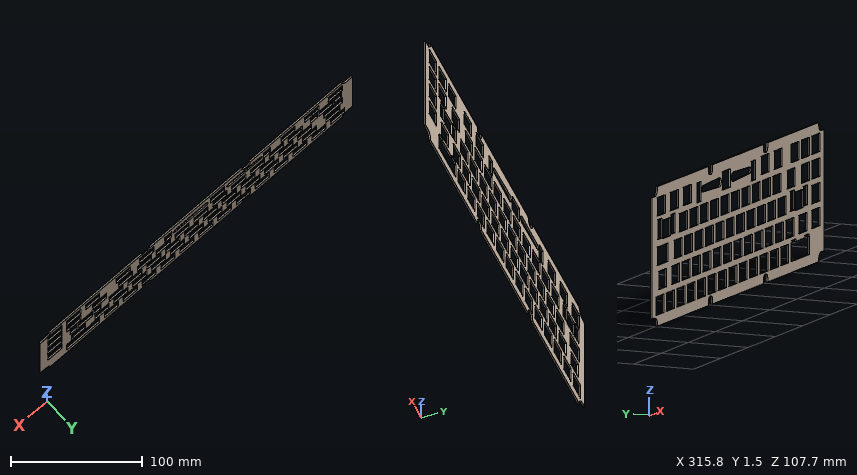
import cadquery as cq


PLATE_LENGTH = 315.8
PLATE_HEIGHT = 107.7
PLATE_THICKNESS = 1.5

NOTCH_DEPTH = 7.0
NOTCH_RADIUS = 3.8
CORNER_CUT_RADIUS = 5.0
CORNER_CUT_LENGTH = 9.8
NOTCH_X = 50.5

KEYS_WIDE = 16
FIRST_TO_LAST_KEY = 285.8
KEY_PITCH = FIRST_TO_LAST_KEY / (KEYS_WIDE - 1)
WEB_WIDTH = 5.0
SWITCH_SIZE = KEY_PITCH - WEB_WIDTH

STAB_WIDTH = 7.0
STAB_HEIGHT = 15.0
STAB_SHIFT = 1.42
STAB_SPACING = 12.0
SPACEBAR_STAB_SPACING = 50.0

SLOT_NEAR_END = 9.5
SLOT_FAR_END = 44.8
SLOT_NEAR_RADIUS = 3.5
SLOT_FAR_RADIUS = 2.4

SPACEBAR = 6.875
LEFT_SHIFT = 1.125
ENTER = 13.875
CAPS_LOCK_POSITIONS = (0.625, 0.875)
BACKSPACE_POSITIONS = (13.5, 14.5)
BACKSPACE = sum(BACKSPACE_POSITIONS) / 2
LAST_COLUMN = KEYS_WIDE - 0.5


def key_run(first, count):
    """Positions of neighbouring one-unit keys."""
    return [first + i for i in range(count)]


SWITCH_ROWS = [
    [0.625, 1.875, 3.125, SPACEBAR, 10.625, 11.875] + key_run(13.5, 3),
    [LEFT_SHIFT] + key_run(2.75, 10) + [13.125] + key_run(14.5, 2),
    key_run(2.25, 11) + [ENTER, LAST_COLUMN],
    [0.75] + key_run(2.0, 12) + [14.25, LAST_COLUMN],
    key_run(0.5, 13),
]
SPACEBAR_ROW = 0
SHIFT_ROW = 1
HOME_ROW = 2
NUMBER_ROW = 4


def key_x(position):
    """X of a key centre given in key units."""
    return (position - KEYS_WIDE / 2) * KEY_PITCH


def row_z(row):
    """Height of a row; the home row lies on the plate's centre line."""
    return (HOME_ROW - row) * KEY_PITCH


def block(x, z, length, height):
    """Box through the plate, centred at (x, z)."""
    return cq.Workplane("XY").box(length, PLATE_THICKNESS, height).translate((x, 0, z))


def extrude_through(sketch):
    """Extrude an XZ outline through the whole plate thickness."""
    return sketch.extrude(PLATE_THICKNESS / 2, both=True)


def make_corner_cut(side_x, side_z):
    """Rectangular corner removal with a rounded inner corner."""
    cutter = block(0, 0, 2 * CORNER_CUT_LENGTH, 2 * NOTCH_DEPTH)
    cutter = cutter.edges("|Y").fillet(CORNER_CUT_RADIUS)
    return cutter.translate((side_x * PLATE_LENGTH / 2, 0, side_z * PLATE_HEIGHT / 2))


def make_edge_notch(side_x, side_z):
    """U-shaped notch in a long edge."""
    edge_z = side_z * PLATE_HEIGHT / 2
    arc_z = edge_z - side_z * (NOTCH_DEPTH - NOTCH_RADIUS)
    bottom_z = edge_z - side_z * NOTCH_DEPTH
    left = side_x * NOTCH_X - NOTCH_RADIUS
    right = side_x * NOTCH_X + NOTCH_RADIUS
    sketch = (
        cq.Workplane("XZ")
        .moveTo(left, edge_z)
        .lineTo(left, arc_z)
        .threePointArc((side_x * NOTCH_X, bottom_z), (right, arc_z))
        .lineTo(right, edge_z)
        .close()
    )
    return extrude_through(sketch)


def make_wide_opening(positions, row):
    """One opening that spans the switches of two alternative key positions."""
    first, last = key_x(positions[0]), key_x(positions[1])
    return block((first + last) / 2, row_z(row), last - first + SWITCH_SIZE, SWITCH_SIZE)


def make_stabilizers(position, row, spacing, shift):
    """Pair of stabilizer openings on both sides of a long key."""
    return [
        block(key_x(position) + side * spacing, row_z(row) + shift, STAB_WIDTH, STAB_HEIGHT)
        for side in (-1, 1)
    ]


def make_tapered_slot(side):
    """Round-ended slot, narrowing away from the spacebar switch."""
    centre_x = key_x(SPACEBAR)
    z = row_z(SPACEBAR_ROW)
    near_x = centre_x + side * (SLOT_NEAR_END + SLOT_NEAR_RADIUS)
    far_x = centre_x + side * (SLOT_FAR_END - SLOT_FAR_RADIUS)
    sketch = (
        cq.Workplane("XZ")
        .moveTo(near_x, z + SLOT_NEAR_RADIUS)
        .lineTo(far_x, z + SLOT_FAR_RADIUS)
        .threePointArc((centre_x + side * SLOT_FAR_END, z), (far_x, z - SLOT_FAR_RADIUS))
        .lineTo(near_x, z - SLOT_NEAR_RADIUS)
        .threePointArc((centre_x + side * SLOT_NEAR_END, z), (near_x, z + SLOT_NEAR_RADIUS))
        .close()
    )
    return extrude_through(sketch)


plate = block(0, 0, PLATE_LENGTH, PLATE_HEIGHT)

for side_x in (-1, 1):
    for side_z in (-1, 1):
        plate = plate.cut(make_corner_cut(side_x, side_z))
        plate = plate.cut(make_edge_notch(side_x, side_z))

openings = [
    block(key_x(position), row_z(row), SWITCH_SIZE, SWITCH_SIZE)
    for row, positions in enumerate(SWITCH_ROWS)
    for position in positions
]
openings.append(make_wide_opening(CAPS_LOCK_POSITIONS, HOME_ROW))
openings.append(make_wide_opening(BACKSPACE_POSITIONS, NUMBER_ROW))

openings += make_stabilizers(SPACEBAR, SPACEBAR_ROW, SPACEBAR_STAB_SPACING, -STAB_SHIFT)
openings += make_stabilizers(LEFT_SHIFT, SHIFT_ROW, STAB_SPACING, STAB_SHIFT)
openings += make_stabilizers(ENTER, HOME_ROW, STAB_SPACING, STAB_SHIFT)
openings += make_stabilizers(BACKSPACE, NUMBER_ROW, STAB_SPACING, STAB_SHIFT)

openings += [make_tapered_slot(side) for side in (-1, 1)]

for opening in openings:
    plate = plate.cut(opening)

result = plate